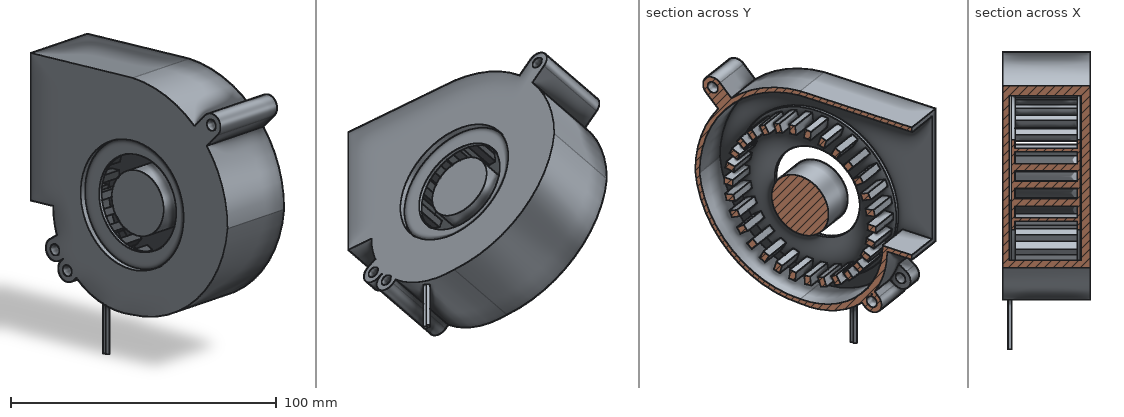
import cadquery as cq
import math


housing_depth = 33.0
scroll_top = 50.0
scroll_right = 47.0
scroll_bottom = 43.1
scroll_left = 39.0
outlet_left = 50.0
outlet_height = 58.0
outlet_floor = scroll_top - outlet_height
side_wall = 2.2
front_wall = 2.5
back_wall = 3.5
inlet_radius = 25.4

ring_radius = 35.4
ring_bore_radius = 19.0
ring_front = 3.2
ring_thickness = 1.5
disc_thickness = 1.2
disc_gap = 0.3
hub_radius = 12.8
blade_count = 30
blade_tip_radius = 34.0
blade_thickness = 2.9
blade_length = 4.0
disc_back = housing_depth - back_wall - disc_gap
disc_front = disc_back - disc_thickness
ring_back = ring_front + ring_thickness

lug_radius = 4.5
lug_hole_diameter = 4.4
upper_lug_offset = 39.0
lower_lug_offset = 32.0
short_lug_x = -38.1
short_lug_z = -25.0
short_lug_depth = 6.0

wire_diameter = 1.5
wire_pitch = 1.3
wire_pair_x = -15.05
wire_depth = 2.7
wire_end = -61.86
wire_root = -scroll_bottom + side_wall


def at_depth(depth):
    """Workplane parallel to the front cover at the given depth."""
    return cq.Workplane("XZ", origin=(0, depth, 0))


def slab(sketch, thickness):
    """Extrude a sketch towards +Y."""
    return sketch.extrude(-thickness)


def disc(radius, depth, thickness):
    return slab(at_depth(depth).circle(radius), thickness)


def arc_middle(start, end, centre):
    """Point halfway along the minor arc from start to end about the centre."""
    radius = math.dist(end, centre)
    dx = (start[0] + end[0]) / 2 - centre[0]
    dz = (start[1] + end[1]) / 2 - centre[1]
    scale = radius / math.hypot(dx, dz)
    return centre[0] + dx * scale, centre[1] + dz * scale


def arc_ending_vertical(start, end):
    """Middle of the arc whose centre is level with its end point."""
    dx = end[0] - start[0]
    dz = end[1] - start[1]
    return arc_middle(start, end, (end[0] - (dx**2 + dz**2) / (2 * dx), end[1]))


def arc_ending_horizontal(start, end):
    """Middle of the arc whose centre is straight above or below its end point."""
    dx = end[0] - start[0]
    dz = end[1] - start[1]
    return arc_middle(start, end, (end[0], end[1] - (dx**2 + dz**2) / (2 * dz)))


def volute(inset, depth, thickness):
    """Volute of three arcs closed by the outlet duct on its left, moved inwards by the inset."""
    top = (0, scroll_top - inset)
    right = (scroll_right - inset, 0)
    bottom = (0, inset - scroll_bottom)
    left = (inset - scroll_left, outlet_floor + inset)
    outline = (
        at_depth(depth)
        .moveTo(*top)
        .threePointArc(arc_ending_vertical(top, right), right)
        .threePointArc(arc_ending_horizontal(right, bottom), bottom)
        .threePointArc(arc_ending_vertical(bottom, left), left)
        .lineTo(-outlet_left, left[1])
        .lineTo(-outlet_left, top[1])
        .close()
    )
    return slab(outline, thickness)


def lug(x, z, depth):
    """Rounded ear pointing away from the fan axis."""
    reach = math.hypot(x, z)
    root = reach / 2
    angle = math.degrees(math.atan2(z, x))
    arm = slab(at_depth(0).center((reach + root) / 2, 0).rect(reach - root, 2 * lug_radius), depth)
    arm = arm.union(slab(at_depth(0).center(reach, 0).circle(lug_radius), depth))
    return arm.rotate((0, 0, 0), (0, 1, 0), -angle)


def blade():
    """Straight radial blade at the -X side."""
    middle_x = blade_length / 2 - blade_tip_radius
    sketch = at_depth(ring_back).center(middle_x, 0).rect(blade_length, blade_thickness)
    return slab(sketch, disc_front - ring_back)


def impeller():
    rotor = disc(ring_radius, disc_front, disc_thickness)
    rotor = rotor.union(disc(ring_radius, ring_front, ring_thickness).cut(
        disc(ring_bore_radius, ring_front, ring_thickness)))
    rotor = rotor.union(disc(hub_radius, ring_front, housing_depth - ring_front))
    single = blade()
    for i in range(blade_count):
        rotor = rotor.union(single.rotate((0, 0, 0), (0, 1, 0), i * 360 / blade_count))
    return rotor


def housing():
    lugs = [
        (upper_lug_offset, upper_lug_offset, housing_depth),
        (-lower_lug_offset, -lower_lug_offset, housing_depth),
        (short_lug_x, short_lug_z, short_lug_depth),
    ]
    body = volute(0, 0, housing_depth)
    for x, z, depth in lugs:
        body = body.union(lug(x, z, depth))
    for x, z, depth in lugs:
        body = body.cut(slab(at_depth(0).center(x, z).circle(lug_hole_diameter / 2), depth))
    air_depth = housing_depth - front_wall - back_wall
    body = body.cut(volute(side_wall, front_wall, air_depth))
    return body.cut(disc(inlet_radius, 0, front_wall))


def wire(x):
    base = cq.Workplane("XY", origin=(x, wire_depth, wire_end))
    return base.circle(wire_diameter / 2).extrude(wire_root - wire_end)


result = housing().union(impeller())
for side in (-1, 1):
    result = result.union(wire(wire_pair_x + side * wire_pitch / 2))